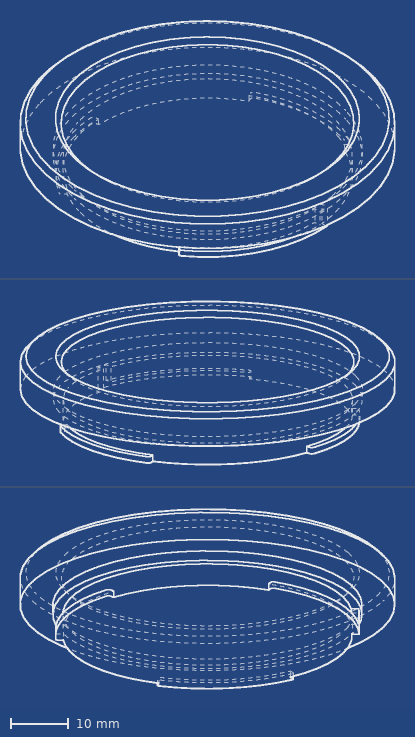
import cadquery as cq
import math

cap_diameter = 65.1
cap_height = 6.0
edge_chamfer = 1.0
recess_rim_diameter = 52.8
recess_depth = 1.0
shoulder_diameter = 53.7
shoulder_height = 1.75
total_height = 11.7
plug_diameter = 50.3

tab_outer_diameter = 52.8
tab_height = 1.2
tab_count = 3
tab_start_angle = 154.5
tab_sweep = 54.5
tab_corner_radius = 0.6

stop_start_angle = 333.3
stop_end_angle = 337.6

cap_bottom = total_height - cap_height
shoulder_bottom = cap_bottom - shoulder_height
root_overlap = 0.65
tab_root_radius = plug_diameter / 2 - root_overlap


def cylinder(diameter, bottom, height):
    return cq.Workplane("XY").workplane(offset=bottom).circle(diameter / 2).extrude(height)


def ring_sector(start_angle, end_angle, height):
    """Block between two radial faces, standing on the bottom plane and rooted in the plug."""
    sweep = end_angle - start_angle
    radial_width = tab_outer_diameter / 2 - tab_root_radius
    profile = cq.Workplane("XZ").center(tab_root_radius, 0).rect(radial_width, height, centered=False)
    sector = profile.revolve(sweep, (-tab_root_radius, 0, 0), (-tab_root_radius, 1, 0))
    return sector.rotate((0, 0, 0), (0, 0, 1), start_angle)


def round_outer_corners(sector):
    middle_radius = (tab_root_radius + tab_outer_diameter / 2) / 2
    outer_corners = sector.edges("|Z").filter(
        lambda edge: math.hypot(edge.Center().x, edge.Center().y) > middle_radius
    )
    return outer_corners.fillet(tab_corner_radius)


cap = cylinder(cap_diameter, cap_bottom, cap_height).faces(">Z").edges().chamfer(edge_chamfer)
recess = (
    cq.Workplane("XY")
    .workplane(offset=total_height)
    .circle(recess_rim_diameter / 2)
    .workplane(offset=-recess_depth)
    .circle(recess_rim_diameter / 2 - recess_depth)
    .loft()
)

shoulder = cylinder(shoulder_diameter, shoulder_bottom, shoulder_height)
plug = cylinder(plug_diameter, 0, shoulder_bottom)
result = cap.cut(recess).union(shoulder).union(plug)

for tab_index in range(tab_count):
    start_angle = tab_start_angle + tab_index * 360 / tab_count
    tab = ring_sector(start_angle, start_angle + tab_sweep, tab_height)
    result = result.union(round_outer_corners(tab))

second_tab_middle = tab_start_angle + 360 / tab_count + tab_sweep / 2
tab_extension = ring_sector(second_tab_middle, stop_end_angle, tab_height)
stop = ring_sector(stop_start_angle, stop_end_angle, shoulder_bottom)
result = result.union(tab_extension).union(stop)